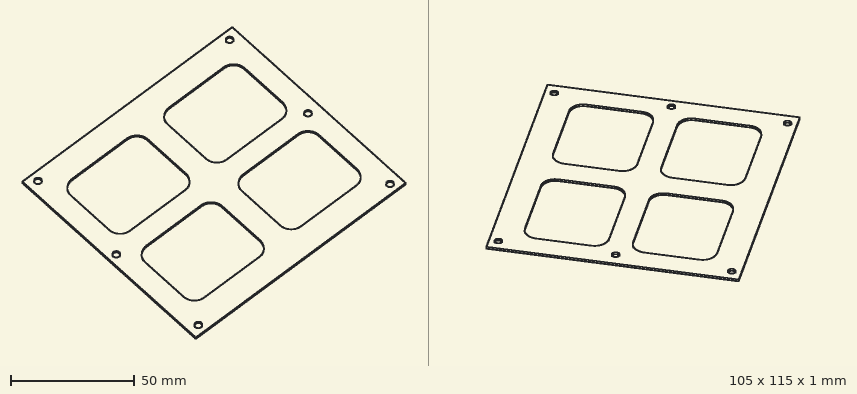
import cadquery as cq

plate_width = 105.0
plate_length = 115.0
plate_thickness = 1.0

window_width = 35.0
window_length = 42.0
window_corner_radius = 6.0
window_spacing_x = 45.0
window_spacing_y = 53.0

hole_diameter = 3.2
corner_hole_spacing_x = 97.1
corner_hole_spacing_y = 105.0
middle_hole_spacing = 105.0
middle_hole_shift = -1.0


def make_plate():
    return cq.Workplane("XY").box(plate_width, plate_length, plate_thickness)


def make_windows():
    return (
        cq.Workplane("XY")
        .rarray(window_spacing_x, window_spacing_y, 2, 2)
        .rect(window_width, window_length)
        .extrude(plate_thickness, both=True)
        .edges("|Z")
        .fillet(window_corner_radius)
    )


def drill_holes(plate):
    plate = (
        plate.faces(">Z")
        .workplane(origin=(0, 0, 0))
        .rarray(corner_hole_spacing_x, corner_hole_spacing_y, 2, 2)
        .hole(hole_diameter)
    )
    return (
        plate.faces(">Z")
        .workplane(origin=(0, middle_hole_shift, 0))
        .rarray(1.2, middle_hole_spacing, 1, 2)
        .hole(hole_diameter)
    )


result = drill_holes(make_plate().cut(make_windows()))